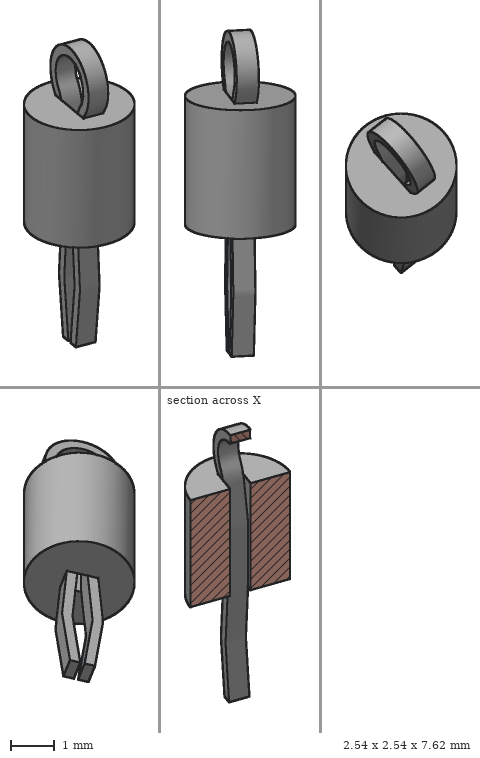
import cadquery as cq
import math

housing_diameter = 2.54
housing_height = 3.05

strip_thickness = 0.25
strip_width = 0.52
loop_outer_radius = 0.89
loop_height = 1.525
leg_length = 3.05
neck_angle = 36.0
neck_radius = 0.84

upright_x = 0.25
upright_top_z = 1.83
leg_x_at_knee = 0.365
leg_x_at_tip = 0.175
knee_drop = 1.49
bend_outer_radius = 0.685

half_strip = strip_thickness / 2
bend_inner_radius = bend_outer_radius - strip_thickness
loop_radius = loop_outer_radius - half_strip
loop_center_z = housing_height + loop_height - loop_outer_radius

neck_direction = math.radians(neck_angle)
neck_center_x = (loop_radius + neck_radius) * math.cos(neck_direction)
neck_center_z = loop_center_z - (loop_radius + neck_radius) * math.sin(neck_direction)

neck_offset_x = neck_center_x - upright_x
neck_offset_z = neck_center_z - upright_top_z
neck_distance = math.hypot(neck_offset_x, neck_offset_z)
leg_lean = math.atan2(neck_offset_x, neck_offset_z) - math.asin(neck_radius / neck_distance)


def neck_point(radius, angle):
    """Point on the right-hand neck bend; angle is measured up from the -X direction."""
    return (
        neck_center_x - radius * math.cos(angle),
        neck_center_z + radius * math.sin(angle),
    )


def mirrored(point):
    return (-point[0], point[1])


def bend_points(before, corner, after, radius):
    """Start, middle and end of the arc that rounds a corner between two straight stretches."""
    before_distance = math.dist(corner, before)
    after_distance = math.dist(corner, after)
    incoming = [(c - b) / before_distance for b, c in zip(before, corner)]
    outgoing = [(a - c) / after_distance for c, a in zip(corner, after)]
    turn = math.acos(incoming[0] * outgoing[0] + incoming[1] * outgoing[1])
    tangent_length = radius * math.tan(turn / 2)
    start = tuple(c - tangent_length * d for c, d in zip(corner, incoming))
    end = tuple(c + tangent_length * d for c, d in zip(corner, outgoing))
    chord_middle = [(s + e) / 2 for s, e in zip(start, end)]
    pull = math.cos(turn / 2) / (1 + math.cos(turn / 2))
    middle = tuple(m + pull * (c - m) for m, c in zip(chord_middle, corner))
    return start, middle, end


def outline_prism(side):
    """Strip-wide prism inside the outer (side = 1) or inner (side = -1) face of the wire."""
    offset = side * half_strip
    neck_face_radius = neck_radius - offset
    neck_start = neck_point(neck_face_radius, neck_direction)
    neck_middle = neck_point(neck_face_radius, (neck_direction + leg_lean) / 2)
    neck_end = neck_point(neck_face_radius, leg_lean)
    upright_top = (upright_x + offset, upright_top_z)
    base = (upright_x + offset, 0)
    knee = (leg_x_at_knee + offset, -knee_drop)
    tip = (leg_x_at_tip + offset, -leg_length)
    loop_top = (0, loop_center_z + loop_radius + offset)

    if side > 0:
        knee_radius, upright_radius = bend_outer_radius, bend_inner_radius
    else:
        knee_radius, upright_radius = bend_inner_radius, bend_outer_radius
    bends = [
        bend_points(tip, knee, base, knee_radius),
        bend_points(knee, base, upright_top, upright_radius),
        bend_points(base, upright_top, neck_end, upright_radius),
    ]

    outline = cq.Workplane("XZ").moveTo(*tip)
    for start, middle, end in bends:
        outline = outline.lineTo(*start).threePointArc(middle, end)
    outline = (
        outline.lineTo(*neck_end)
        .threePointArc(neck_middle, neck_start)
        .threePointArc(loop_top, mirrored(neck_start))
        .threePointArc(mirrored(neck_middle), mirrored(neck_end))
    )
    for start, middle, end in reversed(bends):
        outline = outline.lineTo(*mirrored(end)).threePointArc(mirrored(middle), mirrored(start))
    return outline.lineTo(*mirrored(tip)).close().extrude(strip_width / 2, both=True)


def make_wire(envelope):
    """Strip between the outer and inner outlines, open between the leg tips."""
    return envelope.cut(outline_prism(-1))


def make_housing(envelope):
    """Cylinder with a through slot that the wire's outer faces fill from side to side."""
    cylinder = cq.Workplane("XY").circle(housing_diameter / 2).extrude(housing_height)
    return cylinder.cut(envelope)


wire_envelope = outline_prism(1)
wire = make_wire(wire_envelope)
housing = make_housing(wire_envelope)

result = cq.Compound.makeCompound([housing.val(), wire.val()])